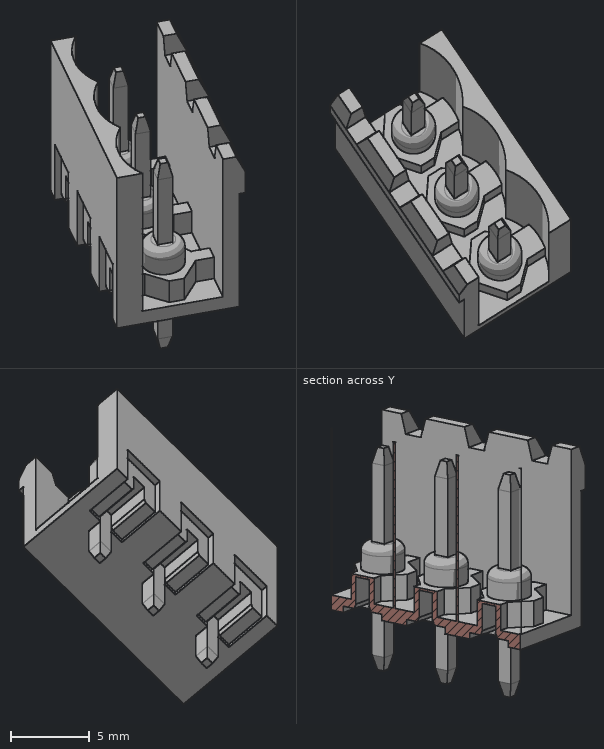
import cadquery as cq


width = 15.0
pole_count = 3
pitch = width / pole_count
pole_xs = [(i - (pole_count - 1) / 2) * pitch for i in range(pole_count)]
pin_y = 3.78

housing_height = 12.0
front_thickness = 1.7
back_inner_y = 7.0
back_outer_y = 8.1
floor_thickness = 1.02
scallop_depth = 0.85

latch_y = 8.5
latch_bottom_z = 9.0
latch_bevel_z = 10.7
latch_top_y = 7.89

notch_top_width = 1.9
notch_bottom_width = 1.2

pin_size = 1.0
pin_tip_size = 0.51
pin_taper = 1.02
pin_bottom_z = -4.0
pin_top_z = 10.74
pin_front_y = pin_y - pin_size / 2

pad_top_z = 2.72
pad_width = 4.2
pad_back_stem_width = 1.0
pad_front_stem_width = 1.87
pad_front_stem_y = 2.3
pad_front_corner_y = 3.57
pad_back_corner_y = 4.58
pad_back_stem_y = 5.8
boss_diameter = 2.8
boss_top_z = 4.51
boss_round = 0.6

window_width = 3.0
window_height = 4.4
window_depth = 0.42
underside_recess = 0.42
slot_width = pin_size
slot_height = 2.53
slot_flare_z = 0.75
slot_mouth_width = 1.3


def block(x_size, y_start, y_end, z_start, z_end):
    """Box centred on X = 0 between the given Y and Z limits."""
    box = cq.Workplane("XY").box(x_size, y_end - y_start, z_end - z_start, centered=(True, False, False))
    return box.translate((0, y_start, z_start))


def extrude_along_y(points, y_start, y_end):
    """Prism with an XZ outline, running between two Y positions."""
    plane = cq.Workplane("XZ", origin=(0, y_start, 0))
    return plane.polyline(points).close().extrude(y_start - y_end)


def tray():
    """Floor with both long walls and the latch bead, as one profile along X."""
    profile = [
        (0, 0),
        (back_outer_y, 0),
        (back_outer_y, latch_bottom_z),
        (latch_y, latch_bottom_z),
        (latch_y, latch_bevel_z),
        (latch_top_y, housing_height),
        (back_inner_y, housing_height),
        (back_inner_y, floor_thickness),
        (front_thickness, floor_thickness),
        (front_thickness, housing_height),
        (0, housing_height),
    ]
    return cq.Workplane("YZ", origin=(-width / 2, 0, 0)).polyline(profile).close().extrude(width)


def scallop():
    """Circular-arc hollow in the inner side of the front wall, one pitch wide."""
    deepest_y = front_thickness - scallop_depth
    sketch = cq.Workplane("XY", origin=(0, 0, floor_thickness)).moveTo(-pitch / 2, front_thickness)
    outline = sketch.threePointArc((0, deepest_y), (pitch / 2, front_thickness)).close()
    return outline.extrude(housing_height - floor_thickness)


def notch():
    """Notch through the back wall, narrowing downwards."""
    outline = [
        (-notch_top_width / 2, housing_height),
        (-notch_bottom_width / 2, latch_bevel_z),
        (notch_bottom_width / 2, latch_bevel_z),
        (notch_top_width / 2, housing_height),
    ]
    return extrude_along_y(outline, back_inner_y, latch_y)


def pad():
    """Raised pad around the pin, with a stem to each long wall; the front stem ends inside its wall."""
    front_y = (front_thickness - scallop_depth) / 2
    right_side = [
        (pad_front_stem_width / 2, front_y),
        (pad_front_stem_width / 2, pad_front_stem_y),
        (pad_width / 2, pad_front_corner_y),
        (pad_width / 2, pad_back_corner_y),
        (pad_back_stem_width / 2, pad_back_stem_y),
        (pad_back_stem_width / 2, back_inner_y),
    ]
    left_side = [(-x, y) for x, y in reversed(right_side)]
    return cq.Workplane("XY").polyline(right_side + left_side).close().extrude(pad_top_z)


def boss():
    """Round boss on the pad with a rounded top edge."""
    cylinder = cq.Workplane("XY", origin=(0, pin_y, 0)).circle(boss_diameter / 2).extrude(boss_top_z)
    return cylinder.faces(">Z").edges().fillet(boss_round)


def front_opening():
    """Window in the front face, underside recess, and flared slot, the last two reaching the pin."""
    window = block(window_width, 0, window_depth, 0, window_height)
    recess = block(window_width, 0, pin_front_y, 0, underside_recess)
    half_outline = [
        (slot_mouth_width / 2, underside_recess),
        (slot_width / 2, slot_flare_z),
        (slot_width / 2, slot_height),
    ]
    outline = half_outline + [(-x, z) for x, z in reversed(half_outline)]
    slot = extrude_along_y(outline, 0, pin_front_y)
    return window.union(recess).union(slot)


def make_pin():
    """Square pin tapered at both ends."""
    shank_bottom_z = pin_bottom_z + pin_taper
    shank_top_z = pin_top_z - pin_taper
    shank = block(pin_size, pin_front_y, pin_front_y + pin_size, shank_bottom_z, shank_top_z)

    def tip(root_z, direction):
        root = cq.Workplane("XY", origin=(0, pin_y, root_z)).rect(pin_size, pin_size)
        return root.workplane(offset=direction * pin_taper).rect(pin_tip_size, pin_tip_size).loft()

    return shank.union(tip(shank_top_z, 1)).union(tip(shank_bottom_z, -1))


def make_housing():
    """Tray with a pad, boss, openings and pin hole at every pole."""
    body = tray()
    for x in pole_xs:
        body = body.cut(scallop().translate((x, 0, 0)))
    for x in pole_xs:
        body = body.union(pad().translate((x, 0, 0)))
        body = body.union(boss().translate((x, 0, 0)))
        body = body.cut(notch().translate((x, 0, 0)))
        body = body.cut(front_opening().translate((x, 0, 0)))
        body = body.cut(make_pin().translate((x, 0, 0)))
    return body


housing = make_housing()
pins = [make_pin().translate((x, 0, 0)) for x in pole_xs]

result = cq.Compound.makeCompound([housing.val(), *[pin.val() for pin in pins]])